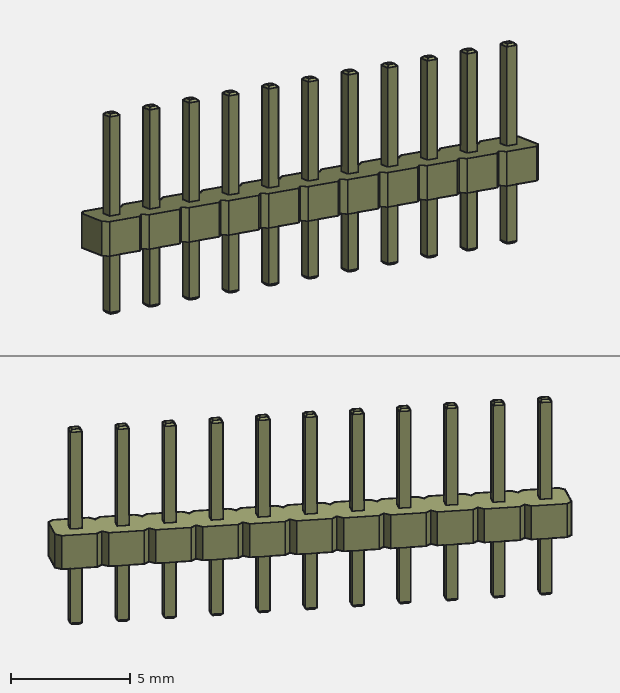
import cadquery as cq

pin_count = 11
strip_length = 22.0
pitch = strip_length / pin_count
strip_width = pitch
strip_height = 1.5
corner_cut = 0.25

pin_side = 0.5
pin_length = 8.7
pin_tail = 2.8
tip_chamfer = 0.1

first_pin_y = (pitch - strip_length) / 2
pin_positions = [first_pin_y + i * pitch for i in range(pin_count)]


def make_strip_block():
    """Strip segment around one pin; its cut upright edges leave V notches between segments."""
    block = cq.Workplane("XY").box(strip_width, pitch, strip_height, centered=(True, True, False))
    return block.edges("|Z").chamfer(corner_cut)


def make_pin():
    """Square pin with both tips chamfered, reaching below the strip by the tail length."""
    pin = cq.Workplane("XY").box(pin_side, pin_side, pin_length, centered=(True, True, False))
    pin = pin.faces("<Z or >Z").chamfer(tip_chamfer)
    return pin.translate((0, 0, -pin_tail))


def repeat_along_row(item):
    """Union of copies of the item, one at every pin position."""
    row = cq.Workplane("XY")
    for y in pin_positions:
        row = row.union(item.translate((0, y, 0)))
    return row


strip = repeat_along_row(make_strip_block()).clean()
pins = repeat_along_row(make_pin())
result = strip.union(pins)